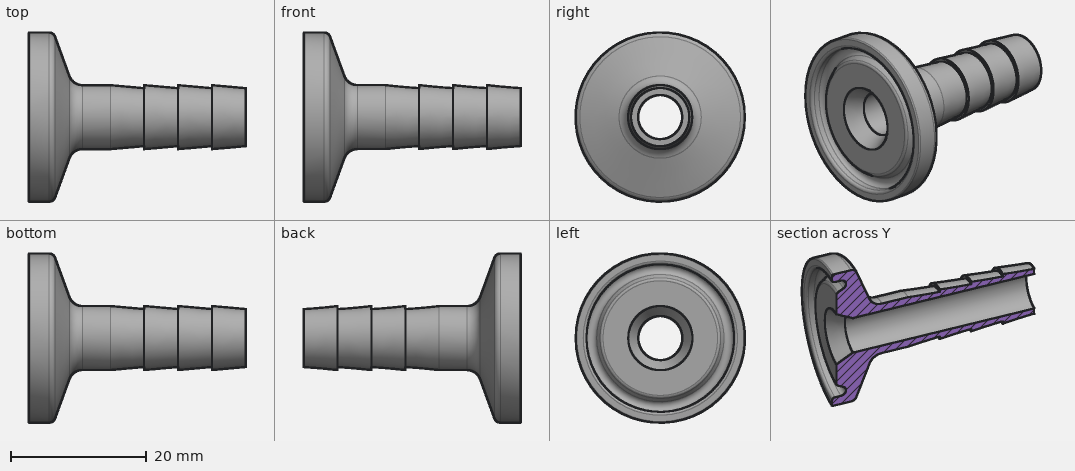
import cadquery as cq
import math

length = 32.0
flange_diameter = 25.0
flange_radius = flange_diameter / 2
rim_round = 0.2
flange_back_round = 1.0
cone_angle = math.radians(20)
stem_radius = 4.75
neck_round = 2.0
neck_end = 7.9

barb_count = 4
barb_pitch = 5.0
barb_tip_radius = 4.3

face_recess = 0.7

bore_radius = 3.23
mouth_radius = 4.75
mouth_half_angle = math.radians(30)

groove_centre_radius = 10.08
groove_round = 0.8
groove_depth = 2.2
groove_wall_angle = math.radians(30)
groove_inner_lip_radius = 8.45
groove_inner_lip_round = 0.5
groove_outer_lip_round = 0.48


def arc_point(centre, radius, angle):
    """Point (x, r) on an arc; the angle is measured from +r towards +x."""
    return (centre[0] + radius * math.sin(angle), centre[1] + radius * math.cos(angle))


def make_body():
    """Revolve the solid outline of flange, cone, neck and hose barbs."""
    normal_angle = math.pi / 2 - cone_angle
    neck_centre = (neck_end, stem_radius + neck_round)
    cone_end = arc_point(neck_centre, neck_round, math.pi + normal_angle)

    back_centre_r = flange_radius - flange_back_round
    back_offset = flange_back_round + neck_round
    back_centre_x = (
        neck_end
        - back_offset / math.cos(cone_angle)
        - (back_centre_r - neck_centre[1]) * math.tan(cone_angle)
    )
    back_centre = (back_centre_x, back_centre_r)
    cone_start = arc_point(back_centre, flange_back_round, normal_angle)
    back_middle = arc_point(back_centre, flange_back_round, normal_angle / 2)
    neck_middle = arc_point(neck_centre, neck_round, math.pi + normal_angle / 2)

    rim_centre = (rim_round, flange_radius - rim_round)
    outline = (
        cq.Workplane("XY")
        .moveTo(0, 0)
        .lineTo(0, rim_centre[1])
        .threePointArc(arc_point(rim_centre, rim_round, -math.pi / 4), (rim_round, flange_radius))
        .lineTo(back_centre_x, flange_radius)
        .threePointArc(back_middle, cone_start)
        .lineTo(*cone_end)
        .threePointArc(neck_middle, (neck_end, stem_radius))
    )
    for barb in range(barb_count):
        barb_start = length - (barb_count - barb) * barb_pitch
        outline = outline.lineTo(barb_start, stem_radius)
        outline = outline.lineTo(barb_start + barb_pitch, barb_tip_radius)
    outline = outline.lineTo(length, 0).close()
    return outline.revolve(360, (0, 0, 0), (1, 0, 0))


def make_bore():
    """Through bore with a conical mouth at the recessed face."""
    mouth_end = face_recess + (mouth_radius - bore_radius) / math.tan(mouth_half_angle)
    return (
        cq.Workplane("XY")
        .moveTo(face_recess, 0)
        .lineTo(face_recess, mouth_radius)
        .lineTo(mouth_end, bore_radius)
        .lineTo(length, bore_radius)
        .lineTo(length, 0)
        .close()
        .revolve(360, (0, 0, 0), (1, 0, 0))
    )


def make_face_recess():
    """Recessed face and the round-bottomed ring groove around it, with rounded lips."""
    wall_normal = math.pi / 2 - groove_wall_angle
    inner_centre = (face_recess + groove_inner_lip_round, groove_inner_lip_radius)
    inner_lip_middle = arc_point(inner_centre, groove_inner_lip_round, -math.pi / 2 + wall_normal / 2)
    inner_lip_end = arc_point(inner_centre, groove_inner_lip_round, -groove_wall_angle)

    floor_centre = (groove_depth - groove_round, groove_centre_radius)
    floor_start = arc_point(floor_centre, groove_round, math.pi - groove_wall_angle)
    floor_middle = arc_point(floor_centre, groove_round, math.pi / 2)
    floor_end = arc_point(floor_centre, groove_round, 0)

    outer_centre = (groove_outer_lip_round, floor_end[1] + groove_outer_lip_round)
    outer_lip_middle = arc_point(outer_centre, groove_outer_lip_round, -3 * math.pi / 4)
    return (
        cq.Workplane("XY")
        .moveTo(0, 0)
        .lineTo(face_recess, 0)
        .lineTo(face_recess, groove_inner_lip_radius)
        .threePointArc(inner_lip_middle, inner_lip_end)
        .lineTo(*floor_start)
        .threePointArc(floor_middle, floor_end)
        .lineTo(groove_outer_lip_round, floor_end[1])
        .threePointArc(outer_lip_middle, (0, outer_centre[1]))
        .close()
        .revolve(360, (0, 0, 0), (1, 0, 0))
    )


result = make_body().cut(make_bore()).cut(make_face_recess())